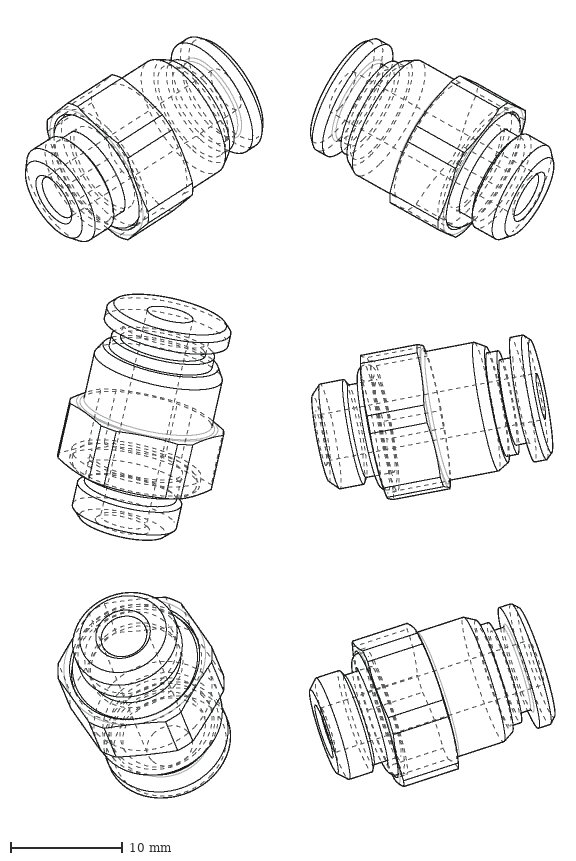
import cadquery as cq
import math

LENGTH = 20.2
THREAD_CHAMFER_LENGTH = 0.83
THREAD_END = 3.0
NECK_START = 3.33
HEX_FRONT = 5.0
HEX_BACK = 10.5
SLEEVE_CHAMFER_START = 15.2
SLEEVE_END = 16.18
STEP_END = 17.2
FLANGE_START = 18.55
FLANGE_CHAMFER_START = 19.65

THREAD_RADIUS = 4.8
THREAD_FACE_RADIUS = 3.98
NECK_RADIUS = 4.25
SLEEVE_RADIUS = 5.9
SLEEVE_FACE_RADIUS = 5.31
STEP_RADIUS = 4.75
BUTTON_NECK_RADIUS = 3.92
FLANGE_RADIUS = 5.72
FLANGE_FACE_RADIUS = 5.2
SLEEVE_FILLET = 0.3
BUTTON_FILLET = 0.25

HEX_ACROSS_FLATS = 13.0
HEX_CORNER_DIAMETER = 14.18
HEX_CHAMFER_LENGTH = 0.15
HEX_TURN = 30

BORE_RADIUS = 2.1
BORE_MOUTH_RADIUS = 2.5
BORE_CHAMFER_LENGTH = BORE_MOUTH_RADIUS - BORE_RADIUS

RING_OUTER_RADIUS = 5.74
RING_FRONT = 4.4
RECESS_RADIUS = 5.98
RING_SECTION_RADIUS = (RING_OUTER_RADIUS - NECK_RADIUS) / 2
RING_CENTRE_RADIUS = NECK_RADIUS + RING_SECTION_RADIUS
RING_CENTRE_Y = RING_FRONT + RING_SECTION_RADIUS
RECESS_FLOOR = RING_CENTRE_Y + RING_SECTION_RADIUS


def revolve(profile):
    """Turn a closed (radius, y) profile about the Y axis."""
    return profile.close().revolve(360, (0, 0, 0), (0, 1, 0))


def make_turned_body():
    """Threaded end, necks, sleeve and flanged button as one solid of revolution."""
    arc_inset = 1 - math.sqrt(0.5)
    profile = (
        cq.Workplane("XY")
        .lineTo(THREAD_FACE_RADIUS, 0)
        .lineTo(THREAD_RADIUS, THREAD_CHAMFER_LENGTH)
        .lineTo(THREAD_RADIUS, THREAD_END)
        .lineTo(NECK_RADIUS, NECK_START)
        .lineTo(NECK_RADIUS, HEX_BACK)
        .lineTo(SLEEVE_RADIUS + SLEEVE_FILLET, HEX_BACK)
        .threePointArc(
            (SLEEVE_RADIUS + SLEEVE_FILLET * arc_inset, HEX_BACK + SLEEVE_FILLET * arc_inset),
            (SLEEVE_RADIUS, HEX_BACK + SLEEVE_FILLET),
        )
        .lineTo(SLEEVE_RADIUS, SLEEVE_CHAMFER_START)
        .lineTo(SLEEVE_FACE_RADIUS, SLEEVE_END)
        .lineTo(STEP_RADIUS, SLEEVE_END)
        .lineTo(STEP_RADIUS, STEP_END)
        .lineTo(BUTTON_NECK_RADIUS, STEP_END)
        .lineTo(BUTTON_NECK_RADIUS, FLANGE_START - BUTTON_FILLET)
        .threePointArc(
            (BUTTON_NECK_RADIUS + BUTTON_FILLET * arc_inset, FLANGE_START - BUTTON_FILLET * arc_inset),
            (BUTTON_NECK_RADIUS + BUTTON_FILLET, FLANGE_START),
        )
        .lineTo(FLANGE_RADIUS, FLANGE_START)
        .lineTo(FLANGE_RADIUS, FLANGE_CHAMFER_START)
        .lineTo(FLANGE_FACE_RADIUS, LENGTH)
        .lineTo(0, LENGTH)
    )
    return revolve(profile)


def make_hexagon():
    """Hexagon with flats on +Z and -Z, corners turned and chamfered, and the ring recess."""
    inscribed_radius = HEX_ACROSS_FLATS / 2
    corner_radius = HEX_CORNER_DIAMETER / 2
    prism = (
        cq.Workplane("XZ", origin=(0, HEX_FRONT, 0))
        .transformed(rotate=(0, 0, HEX_TURN))
        .polygon(6, HEX_ACROSS_FLATS, circumscribed=True)
        .extrude(HEX_FRONT - HEX_BACK)
    )
    turned_blank = revolve(
        cq.Workplane("XY")
        .moveTo(0, HEX_FRONT)
        .lineTo(inscribed_radius, HEX_FRONT)
        .lineTo(corner_radius, HEX_FRONT + HEX_CHAMFER_LENGTH)
        .lineTo(corner_radius, HEX_BACK - HEX_CHAMFER_LENGTH)
        .lineTo(inscribed_radius, HEX_BACK)
        .lineTo(0, HEX_BACK)
    )
    recess = (
        cq.Workplane("XZ", origin=(0, HEX_FRONT, 0))
        .circle(RECESS_RADIUS)
        .extrude(HEX_FRONT - RECESS_FLOOR)
    )
    return prism.intersect(turned_blank).cut(recess)


def make_bore():
    """Through bore with a chamfered mouth at the threaded end."""
    return revolve(
        cq.Workplane("XY")
        .lineTo(BORE_MOUTH_RADIUS, 0)
        .lineTo(BORE_RADIUS, BORE_CHAMFER_LENGTH)
        .lineTo(BORE_RADIUS, LENGTH)
        .lineTo(0, LENGTH)
    )


def make_fitting():
    return make_turned_body().union(make_hexagon()).cut(make_bore())


def make_sealing_ring():
    return (
        cq.Workplane("XY")
        .center(RING_CENTRE_RADIUS, RING_CENTRE_Y)
        .circle(RING_SECTION_RADIUS)
        .revolve(360, (-RING_CENTRE_RADIUS, 0, 0), (-RING_CENTRE_RADIUS, 1, 0))
    )


fitting = make_fitting()
sealing_ring = make_sealing_ring()
result = cq.Compound.makeCompound([fitting.val(), sealing_ring.val()])